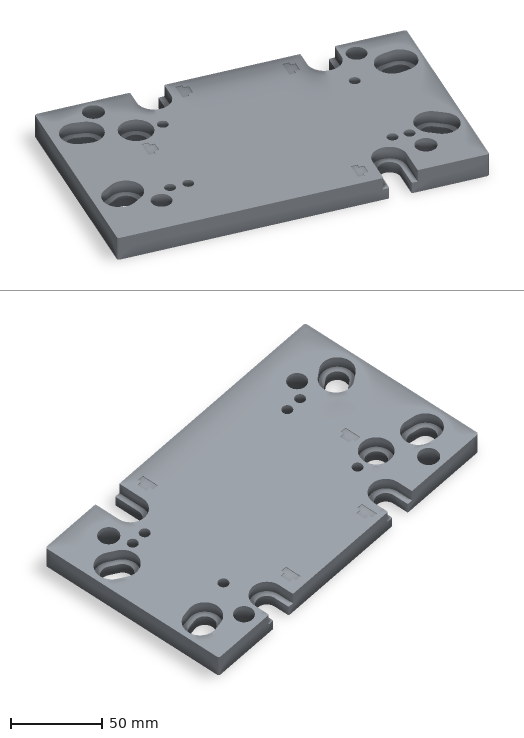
import cadquery as cq
import math

plate_width = 125.5
plate_length = 218.9
plate_thickness = 14.7
corner_radius = 1.3
notch_mouth_radius = 0.55

screw_diameter = 13.1
head_diameter = 20.1
head_depth = 7.7

left_slot_outer_x = -37.5
left_slot_inner_x = -36.5
right_slot_outer_x = 26.3
right_slot_inner_x = 23.0
slot_travel_y = 5.0
upper_slot_inner_y = 90.8
lower_slot_inner_y = -89.0

left_notch_x = -52.5
right_notch_x = 46.0
upper_notch_y = 57.1
lower_notch_y = -43.1

pin_column_x = 28.5
round_screw_y = -63.0

pin_diameter = 6.5
pin_points = [
    (-pin_column_x, 65.7),
    (pin_column_x, 65.7),
    (pin_column_x, 75.7),
    (-pin_column_x, -47.3),
    (pin_column_x, -54.5),
    (pin_column_x, -65.2),
]
small_bolt_diameter = 12.0
small_bolt_points = [(-52.0, 76.0), (38.0, -74.0)]
large_bolt_diameter = 12.7
large_bolt_points = [(42.0, 80.1), (-53.0, -78.5)]

mark_depth = 0.5
mark_base_width = 10.7
mark_base_height = 4.0
mark_stem_width = 6.3
mark_height = 7.0
mark_points = [(-52.0, 34.4), (51.2, 34.4), (-53.5, -28.0), (-9.9, -65.0)]


def slot_prism(start, end, diameter, bottom_z):
    """Round-ended prism between two end centres, from bottom_z up to the top face."""
    run_x = end[0] - start[0]
    run_y = end[1] - start[1]
    travel = math.hypot(run_x, run_y)
    angle = math.degrees(math.atan2(run_y, run_x))
    return (
        cq.Workplane("XY", origin=(0, 0, bottom_z))
        .center((start[0] + end[0]) / 2, (start[1] + end[1]) / 2)
        .slot2D(travel + diameter, diameter, angle)
        .extrude(plate_thickness - bottom_z)
    )


def counterbored_slot(start, end):
    """Through slot with a wider recess for the screw head."""
    through = slot_prism(start, end, screw_diameter, 0)
    recess = slot_prism(start, end, head_diameter, plate_thickness - head_depth)
    return through.union(recess)


def edge_notch(x, y):
    """Counterbored slot that runs out past the nearest long side."""
    outside_x = math.copysign(plate_width / 2 + head_diameter, x)
    return counterbored_slot((x, y), (outside_x, y))


def t_mark(x, y):
    """Shallow inverted T: a wide base with a narrower stem above it."""
    face = cq.Workplane("XY", origin=(x, y, plate_thickness - mark_depth))
    base = face.center(0, mark_base_height / 2).rect(mark_base_width, mark_base_height).extrude(mark_depth)
    stem = face.center(0, mark_height / 2).rect(mark_stem_width, mark_height).extrude(mark_depth)
    return base.union(stem)


def drill(body, points, diameter):
    """Plain through holes at the given points."""
    return body.faces(">Z").workplane(origin=(0, 0, plate_thickness)).pushPoints(points).hole(diameter)


result = (
    cq.Workplane("XY")
    .box(plate_width, plate_length, plate_thickness, centered=(True, True, False))
    .edges("|Z")
    .fillet(corner_radius)
)

for notch_x, notch_y in (
    (left_notch_x, upper_notch_y),
    (left_notch_x, lower_notch_y),
    (right_notch_x, upper_notch_y),
):
    result = result.cut(edge_notch(notch_x, notch_y))

mouth_edges = cq.selectors.BoxSelector(
    (-plate_width, -plate_length / 2 + 2 * corner_radius, -plate_thickness),
    (plate_width, plate_length / 2 - 2 * corner_radius, 2 * plate_thickness),
)
result = result.edges("|Z").edges(mouth_edges).edges("<X or >X").fillet(notch_mouth_radius)

for inner_y in (upper_slot_inner_y, lower_slot_inner_y):
    outer_y = inner_y + math.copysign(slot_travel_y, inner_y)
    for inner_x, outer_x in (
        (left_slot_inner_x, left_slot_outer_x),
        (right_slot_inner_x, right_slot_outer_x),
    ):
        result = result.cut(counterbored_slot((inner_x, inner_y), (outer_x, outer_y)))

result = (
    result.faces(">Z")
    .workplane(origin=(0, 0, plate_thickness))
    .pushPoints([(-pin_column_x, round_screw_y)])
    .cboreHole(screw_diameter, head_diameter, head_depth)
)

result = drill(result, pin_points, pin_diameter)
result = drill(result, small_bolt_points, small_bolt_diameter)
result = drill(result, large_bolt_points, large_bolt_diameter)

for mark_x, mark_y in mark_points:
    result = result.cut(t_mark(mark_x, mark_y))